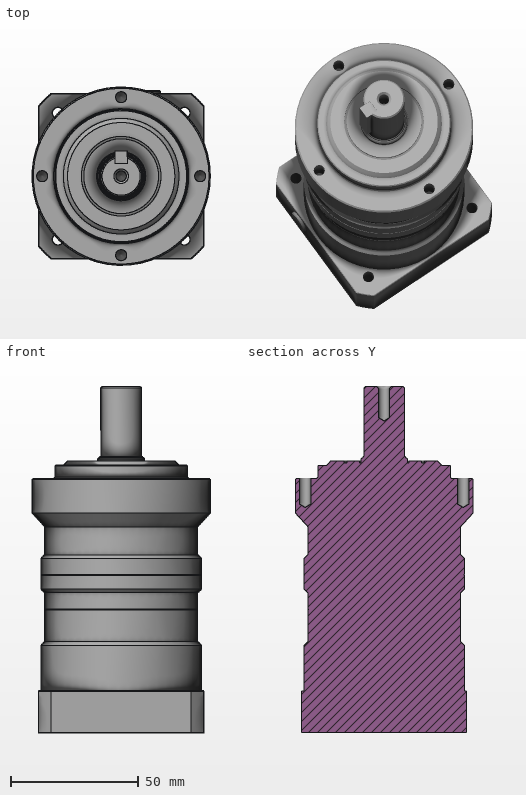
import cadquery as cq
import math


total_height = 136.0
adapter_height = 16.6
lower_body_top = 35.9
body_seam_height = 48.4
band_bottom = 55.1
band_seam_height = 62.0
band_top = 69.9
flange_cone_bottom = 80.9
flange_rim_bottom = 86.4
flange_top = 100.0
pilot_top = 105.1
cover_top = 106.8
collar_top = 108.5

flange_diameter = 70.0

neck_radius = 30.0
body_radius = 31.5
flange_radius = flange_diameter / 2
pilot_radius = 26.1
cover_radius = 21.1
collar_radius = 9.2
shaft_radius = 8.0

edge_break = 0.4
flange_edge = 0.5
band_chamfer = 1.4
body_chamfer = body_radius - neck_radius
collar_chamfer = 1.0
collar_step = 0.3
shaft_chamfer = 0.5
cover_rim_width = cover_top - pilot_top

seam_depth = 0.2

seal_radius = 15.6
seal_groove_width = 1.0
seal_groove_depth = 0.7
collar_gap = 0.4

adapter_width = 65.0
adapter_corner_radius = 42.5
adapter_edge = 0.3
adapter_hole_radius = 2.2
adapter_hole_circle = 35.1

plug_radius = 4.5
plug_height = 1.1
plug_x = 11.0
plug_z = 10.5
plug_chamfer = 0.4

drill_point_angle = 118

flange_hole_radius = 2.2
flange_hole_circle = 31.0
flange_hole_depth = 10.0

key_width = 4.9
key_inner_y = 5.0
key_outer_y = 9.9
keyway_length = 22.0
key_drop = 0.3
key_end_chamfer = 0.4
centre_hole_radius = 2.0
centre_hole_mouth_radius = 2.9
centre_hole_depth = 12.2


def turned_body():
    """Housing, flange, cover, collar and shaft as one revolved half-section."""
    profile = [
        (0, 0),
        (body_radius, 0),
        (body_radius, lower_body_top - body_chamfer),
        (neck_radius, lower_body_top),
        (neck_radius, band_bottom),
        (body_radius - band_chamfer, band_bottom),
        (body_radius, band_bottom + band_chamfer),
        (body_radius, band_top - band_chamfer),
        (body_radius - band_chamfer, band_top),
        (neck_radius, band_top),
        (neck_radius, flange_cone_bottom),
        (flange_radius, flange_rim_bottom),
        (flange_radius, flange_top - flange_edge),
        (flange_radius - flange_edge, flange_top),
        (pilot_radius + edge_break, flange_top),
        (pilot_radius, flange_top + edge_break),
        (pilot_radius, pilot_top - edge_break),
        (pilot_radius - edge_break, pilot_top),
        (cover_radius + cover_rim_width, pilot_top),
        (cover_radius, cover_top),
        (seal_radius, cover_top),
        (seal_radius, cover_top - seal_groove_depth),
        (seal_radius - seal_groove_width, cover_top - seal_groove_depth),
        (seal_radius - seal_groove_width, cover_top),
        (collar_radius + collar_gap, cover_top),
        (collar_radius + collar_gap, cover_top - seal_groove_depth),
        (collar_radius, cover_top - seal_groove_depth),
        (collar_radius, collar_top - collar_chamfer),
        (collar_radius - collar_chamfer / 2, collar_top - collar_chamfer / 2),
        (collar_radius - collar_chamfer / 2 - collar_step, collar_top - collar_chamfer / 2),
        (collar_radius - collar_chamfer, collar_top),
        (shaft_radius, collar_top),
        (shaft_radius, total_height - shaft_chamfer),
        (shaft_radius - shaft_chamfer, total_height),
        (0, total_height),
    ]
    return cq.Workplane("XZ").polyline(profile).close().revolve(360, (0, 0), (0, 1))


def seam_groove(radius, height):
    """Ring that cuts a V groove of seam_depth into a cylinder."""
    section = [
        (radius, height - seam_depth),
        (radius - seam_depth, height),
        (radius, height + seam_depth),
    ]
    return cq.Workplane("XZ").polyline(section).close().revolve(360, (0, 0), (0, 1))


def motor_adapter():
    """Square block whose corners are turned to a common circle."""
    block = cq.Workplane("XY").rect(adapter_width, adapter_width).extrude(adapter_height)
    corner_cylinder = cq.Workplane("XY").circle(adapter_corner_radius).extrude(adapter_height)
    return block.intersect(corner_cylinder).faces(">Z").edges().chamfer(adapter_edge)


def access_plug():
    """Round plug standing proud of the +Y side of the adapter."""
    plug_top_y = adapter_width / 2 + plug_height
    plug = (
        cq.Workplane("XZ", origin=(plug_x, plug_top_y, plug_z))
        .circle(plug_radius)
        .extrude(2 * plug_height)
    )
    return plug.faces(">Y").edges().chamfer(plug_chamfer)


def key_block(length):
    """Square bar on the +Y side of the shaft, standing on the keyway floor."""
    depth = key_outer_y - key_inner_y
    bar = cq.Workplane("XY").box(key_width, depth, length, centered=(True, False, False))
    return bar.translate((0, key_inner_y, total_height - keyway_length))


def shaft_key():
    """Key that stops just short of the shaft end, its lower outer edge chamfered."""
    return key_block(keyway_length - key_drop).faces("<Z").edges(">Y").chamfer(key_end_chamfer)


def adapter_holes():
    """Four through holes on the diagonals of the adapter."""
    return (
        cq.Workplane("XY")
        .polarArray(adapter_hole_circle, 45, 360, 4)
        .circle(adapter_hole_radius)
        .extrude(adapter_height)
    )


def drilled_hole(radius, top, depth):
    """Blind hole on the Z axis with a drill-point bottom."""
    point_length = radius / math.tan(math.radians(drill_point_angle / 2))
    hole_section = [
        (0, top - depth - point_length),
        (radius, top - depth),
        (radius, top),
        (0, top),
    ]
    return cq.Workplane("XZ").polyline(hole_section).close().revolve(360, (0, 0), (0, 1))


def shaft_centre_hole():
    """Drilled hole in the shaft end with a 45 degree countersink."""
    countersink_section = [
        (0, total_height - centre_hole_mouth_radius),
        (centre_hole_mouth_radius, total_height),
        (0, total_height),
    ]
    countersink = cq.Workplane("XZ").polyline(countersink_section).close().revolve(360, (0, 0), (0, 1))
    return drilled_hole(centre_hole_radius, total_height, centre_hole_depth).union(countersink)


def flange_holes():
    """Four drilled holes in the flange, on the X and Y axes."""
    hole = drilled_hole(flange_hole_radius, flange_top, flange_hole_depth)
    hole = hole.translate((flange_hole_circle, 0, 0))
    holes = cq.Workplane("XY")
    for quarter in range(4):
        holes = holes.add(hole.rotate((0, 0, 0), (0, 0, 1), 90 * quarter))
    return holes.combine()


result = turned_body().union(motor_adapter()).union(access_plug())
result = result.cut(key_block(keyway_length)).union(shaft_key())
result = result.cut(seam_groove(neck_radius, body_seam_height))
result = result.cut(seam_groove(body_radius, band_seam_height))
result = result.cut(adapter_holes())
result = result.cut(flange_holes())
result = result.cut(shaft_centre_hole())